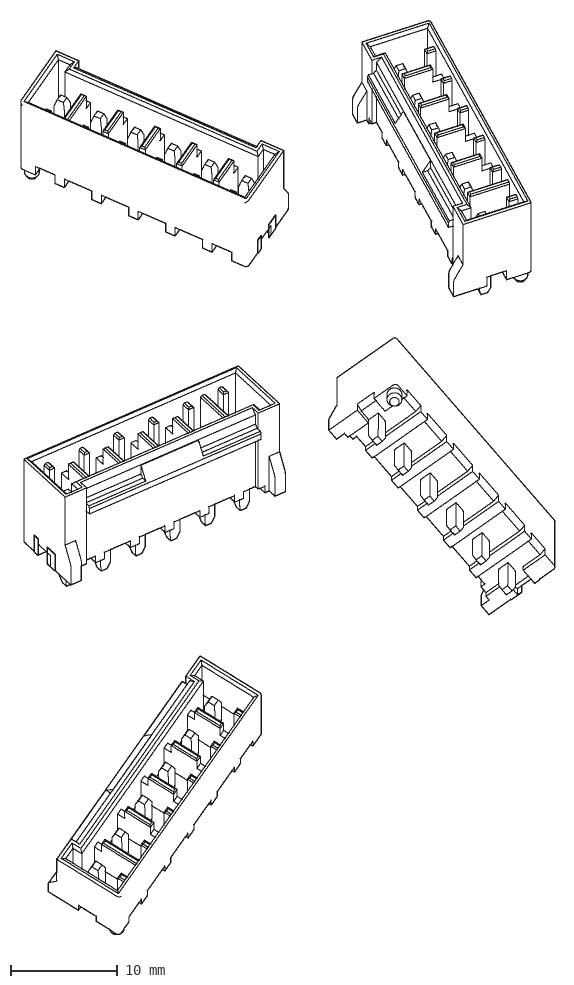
import cadquery as cq
import math


pin_count = 6
pitch = 3.96
pin_row_y = 0.04
pin_width = 1.14
pin_top = 7.5
pin_tail = 3.5
pin_tip_width = 0.68
pin_tip_length = 0.9
pin_point_length = 0.9

length = 24.44
height = 10.0
front_y = -4.0
rear_y = 3.04
front_edge_radius = 0.33
rear_notch_length = 19.54
rear_notch_y = 2.58
rear_top_bevel = 0.52

floor_z = 2.0
wall = 0.61
cavity_rear_y = 1.44
corner_pocket_width = 1.24
mouth_bevel = 0.3

rib_width = 0.6
rib_top = 8.75
rib_bevel = 0.15
rib_rear_y = 0.65
rib_front_y = -2.25
low_rib_top = 6.75
key_rib_depth = 0.9

post_width = 1.03
slot_span = 21.06
slot_height = 0.8
slot_mouth_height = 1.3
slot_slope_depth = 0.6
end_notch_front_y = -1.39
end_notch_rear_y = 0.6

foot_width = 1.2
foot_rear_y = 4.0
foot_straight_height = 2.06
foot_slope_top = 4.2
foot_radius = 1.2
foot_slope_angle = math.radians(28)

latch_bottom = 7.14
latch_ledge_z = 8.06
latch_edge_z = 7.8
latch_ledge_y = 3.41
latch_rear_y = 3.5
latch_root_bevel = 0.3
latch_centre_width = 6.56
latch_centre_rise = 1.35

peg_x = -11.36
peg_y = -3.15
peg_radius = 0.7
peg_length = 1.55
peg_bevel_length = 0.5
peg_bevel_radius = 0.25

pad_thickness = 0.06
pad_height = 2.0
pad_y_ranges = [(0.1, 1.42), (-2.03, -1.37)]

half_length = length / 2
cavity_front_y = front_y + wall
cavity_pocket_y = rear_y - wall
cavity_half_length = half_length - wall


def box(x0, x1, y0, y1, z0, z1):
    return cq.Workplane("XY").box(x1 - x0, y1 - y0, z1 - z0, centered=False).translate((x0, y0, z0))


def extrude_along_x(profile, x0, x1):
    """Extrude a list of (y, z) points from x0 to x1."""
    return cq.Workplane("YZ").workplane(offset=x0).polyline(profile).close().extrude(x1 - x0)


def tapered_box(x, y, z, x_size, y_size, tip_x_size, tip_y_size, rise):
    """Frustum centred on (x, y), from its base at z to its tip at z + rise."""
    return (
        cq.Workplane("XY", origin=(x, y, z))
        .rect(x_size, y_size)
        .workplane(offset=rise)
        .rect(tip_x_size, tip_y_size)
        .loft(ruled=True)
    )


def housing_block():
    block = box(-half_length, half_length, front_y, rear_y, 0, height)
    block = block.edges("(|Z and <Y) or (|X and >Z and <Y)").fillet(front_edge_radius)
    half_notch = rear_notch_length / 2
    bevel_y = rear_notch_y - rear_top_bevel
    notch = [
        (rear_notch_y, 0),
        (rear_notch_y, height - rear_top_bevel),
        (bevel_y, height),
        (rear_y, height),
        (rear_y, 0),
    ]
    return block.cut(extrude_along_x(notch, -half_notch, half_notch))


def cavity_outline(growth, z):
    """T-shaped cavity outline, offset outward by growth, at height z."""
    x_end = cavity_half_length + growth
    x_step = cavity_half_length - corner_pocket_width - growth
    y_front = cavity_front_y - growth
    y_rear = cavity_rear_y + growth
    y_pocket = cavity_pocket_y + growth
    points = [
        (-x_end, y_front),
        (x_end, y_front),
        (x_end, y_pocket),
        (x_step, y_pocket),
        (x_step, y_rear),
        (-x_step, y_rear),
        (-x_step, y_pocket),
        (-x_end, y_pocket),
    ]
    return cq.Wire.makePolygon([cq.Vector(px, py, z) for px, py in points], close=True)


def cavity():
    floor_outline = cq.Face.makeFromWires(cavity_outline(0, floor_z))
    well = cq.Solid.extrudeLinear(floor_outline, cq.Vector(0, 0, height - floor_z))
    lower_outline = cavity_outline(0, height - mouth_bevel)
    upper_outline = cavity_outline(mouth_bevel, height)
    mouth = cq.Solid.makeLoft([lower_outline, upper_outline], True)
    return cq.Workplane(well).union(cq.Workplane(mouth))


def bevelled_rib(x, front, rear):
    half = rib_width / 2
    rib = box(x - half, x + half, front, rear, floor_z, rib_top)
    return rib.faces(">Z").edges().chamfer(rib_bevel)


def low_rib(x):
    """Low rib crossing the whole cavity under a divider."""
    half = rib_width / 2
    return box(x - half, x + half, cavity_front_y, cavity_rear_y, floor_z, low_rib_top)


def foot(x0):
    arc_centre_y = foot_rear_y - foot_radius
    half_angle = foot_slope_angle / 2
    arc_middle = (
        arc_centre_y + foot_radius * math.cos(half_angle),
        foot_straight_height + foot_radius * math.sin(half_angle),
    )
    arc_end = (
        arc_centre_y + foot_radius * math.cos(foot_slope_angle),
        foot_straight_height + foot_radius * math.sin(foot_slope_angle),
    )
    inner_y = rear_y - wall / 2
    return (
        cq.Workplane("YZ")
        .workplane(offset=x0)
        .moveTo(inner_y, 0)
        .lineTo(foot_rear_y, 0)
        .lineTo(foot_rear_y, foot_straight_height)
        .threePointArc(arc_middle, arc_end)
        .lineTo(rear_y, foot_slope_top)
        .lineTo(inner_y, foot_slope_top)
        .close()
        .extrude(foot_width)
    )


def latch():
    half_bar = rear_notch_length / 2
    inner_y = rear_notch_y - wall / 2
    bar = [
        (inner_y, latch_bottom),
        (latch_rear_y, latch_bottom),
        (latch_rear_y, latch_edge_z),
        (latch_ledge_y, latch_ledge_z),
        (rear_notch_y + latch_root_bevel, latch_ledge_z),
        (rear_notch_y, latch_ledge_z + latch_root_bevel),
        (inner_y, latch_ledge_z + latch_root_bevel),
    ]
    ramp_top = latch_ledge_z + latch_centre_rise
    ramp = [
        (inner_y, latch_bottom),
        (latch_ledge_y, latch_bottom),
        (latch_ledge_y, latch_ledge_z),
        (rear_notch_y, ramp_top),
        (inner_y, ramp_top),
    ]
    half_ramp = latch_centre_width / 2
    return extrude_along_x(bar, -half_bar, half_bar).union(extrude_along_x(ramp, -half_ramp, half_ramp))


def underside_slot(x0, x1):
    """Slot under one pin, open to front and rear, with a sloped lead-in at the front."""
    profile = [
        (front_y, 0),
        (front_y, slot_mouth_height),
        (front_y + slot_slope_depth, slot_height),
        (foot_rear_y, slot_height),
        (foot_rear_y, 0),
    ]
    return extrude_along_x(profile, x0, x1)


def end_notch(side):
    """Opening from the end face (side = -1 or 1) into the outermost slot."""
    outer_x = side * half_length
    return (
        cq.Workplane("XZ", origin=(0, end_notch_rear_y, 0))
        .moveTo(outer_x, 0)
        .lineTo(outer_x, slot_mouth_height)
        .lineTo(outer_x - side * slot_slope_depth, slot_height)
        .lineTo(side * slot_span / 2, slot_height)
        .lineTo(side * slot_span / 2, 0)
        .close()
        .extrude(end_notch_rear_y - end_notch_front_y)
    )


def pin(x):
    half = pin_width / 2
    shank_bottom = pin_tip_length - pin_tail
    shank_top = pin_top - pin_point_length
    shank = box(x - half, x + half, pin_row_y - half, pin_row_y + half, shank_bottom, shank_top)
    tip_size = (pin_width, pin_width, pin_tip_width, pin_tip_width)
    tail = tapered_box(x, pin_row_y, shank_bottom, *tip_size, -pin_tip_length)
    point = tapered_box(x, pin_row_y, shank_top, *tip_size, pin_point_length)
    return shank.union(tail).union(point)


def peg():
    profile = [
        (0, 0),
        (peg_radius, 0),
        (peg_radius, peg_bevel_length - peg_length),
        (peg_radius - peg_bevel_radius, -peg_length),
        (0, -peg_length),
    ]
    turned = cq.Workplane("XZ").polyline(profile).close().revolve(360, (0, 0, 0), (0, 1, 0))
    return turned.translate((peg_x, peg_y, 0))


pin_positions = [(i - (pin_count - 1) / 2) * pitch for i in range(pin_count)]
divider_positions = [x + pitch / 2 for x in pin_positions[:-1]]

body = housing_block().union(latch())
for foot_start in (-half_length, half_length - foot_width):
    body = body.union(foot(foot_start))
body = body.cut(cavity())

inside_front_wall = front_y + wall / 2
for x in divider_positions:
    rib_front = inside_front_wall if x == divider_positions[0] else rib_front_y
    body = body.union(low_rib(x)).union(bevelled_rib(x, rib_front, rib_rear_y))

for x in pin_positions:
    body = body.union(bevelled_rib(x, inside_front_wall, cavity_front_y + key_rib_depth))

slot_starts = [-slot_span / 2] + [x + post_width / 2 for x in divider_positions]
slot_ends = [x - post_width / 2 for x in divider_positions] + [slot_span / 2]
for slot_start, slot_end in zip(slot_starts, slot_ends):
    body = body.cut(underside_slot(slot_start, slot_end))
for side in (-1, 1):
    body = body.cut(end_notch(side))

for x in pin_positions:
    body = body.union(pin(x))
body = body.union(peg())
for pad_front, pad_rear in pad_y_ranges:
    body = body.union(box(half_length, half_length + pad_thickness, pad_front, pad_rear, 0, pad_height))

result = body